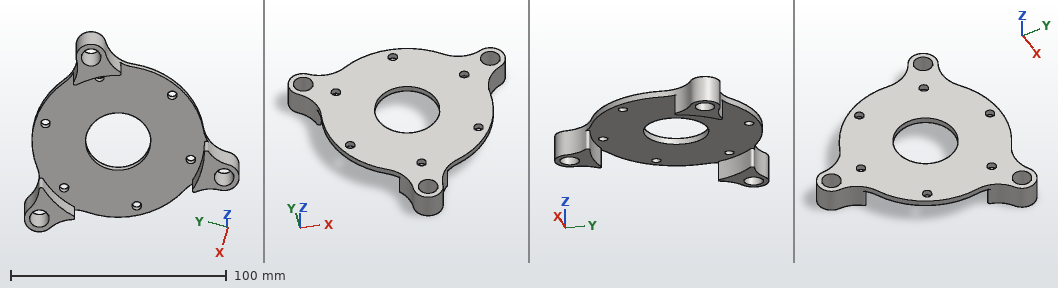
import cadquery as cq
import math

total_height = 12.3
plate_thickness = 3.0
leg_height = total_height - plate_thickness

disc_radius = 40.0
lug_count = 3
lug_radius = 7.0
lug_pitch_radius = 51.0
blend_radius = 16.0
first_lug_angle = -90
lug_angles = [first_lug_angle + i * 360 / lug_count for i in range(lug_count)]

leg_tip_radius = 1.0

bore_diameter = 30.2
lug_hole_diameter = 9.0
screw_hole_diameter = 4.3
screw_hole_count = 6
screw_pitch_radius = 35.0


def polar(radius, angle):
    """Point at a radius and an angle in degrees."""
    return radius * math.cos(math.radians(angle)), radius * math.sin(math.radians(angle))


def point_towards(start, target, distance):
    """Point at a distance from start along the line to target."""
    length = math.dist(start, target)
    return tuple(s + (t - s) * distance / length for s, t in zip(start, target))


def angle_between(side_a, side_b, opposite):
    """Angle in degrees between two sides of a triangle, from its three side lengths."""
    return math.degrees(math.acos((side_a**2 + side_b**2 - opposite**2) / (2 * side_a * side_b)))


def arc_middle(center, radius, start, end):
    """Middle of the shorter arc between two points on a circle."""
    chord_middle = tuple((a + b) / 2 for a, b in zip(start, end))
    return point_towards(center, chord_middle, radius)


blend_pitch_radius = disc_radius + blend_radius
blend_offset_angle = angle_between(
    blend_pitch_radius, lug_pitch_radius, lug_radius + blend_radius
)

tip_pitch_radius = disc_radius + leg_tip_radius
tip_offset_angle = blend_offset_angle - angle_between(
    blend_pitch_radius, tip_pitch_radius, blend_radius + leg_tip_radius
)


def blend_points(lug_angle, side):
    """Rim end, middle and lug end of the blend arc on one side (-1 or 1) of a lug."""
    blend_angle = lug_angle + side * blend_offset_angle
    blend_center = polar(blend_pitch_radius, blend_angle)
    lug_center = polar(lug_pitch_radius, lug_angle)
    rim_end = polar(disc_radius, blend_angle)
    lug_end = point_towards(lug_center, blend_center, lug_radius)
    middle = arc_middle(blend_center, blend_radius, rim_end, lug_end)
    return rim_end, middle, lug_end


def leg_side_points(lug_angle, side):
    """Points along one side (-1 or 1) of a leg: the two ends and middle of the tip
    round, from the rim circle outwards, then the middle and lug end of the blend."""
    tip_center = polar(tip_pitch_radius, lug_angle + side * tip_offset_angle)
    blend_center = polar(blend_pitch_radius, lug_angle + side * blend_offset_angle)
    lug_end = blend_points(lug_angle, side)[2]
    inner_end = point_towards(tip_center, (0, 0), leg_tip_radius)
    outer_end = point_towards(tip_center, blend_center, leg_tip_radius)
    tip_middle = arc_middle(tip_center, leg_tip_radius, inner_end, outer_end)
    blend_middle = arc_middle(blend_center, blend_radius, outer_end, lug_end)
    return inner_end, tip_middle, outer_end, blend_middle, lug_end


def make_plate():
    """Plate with its lugs, on top of the legs."""
    lug_spacing = 360 / lug_count
    rim_start = blend_points(lug_angles[0], -1)[0]
    outline = cq.Workplane("XY").workplane(offset=leg_height).moveTo(*rim_start)
    for angle in lug_angles:
        _, blend_a, lug_start = blend_points(angle, -1)
        rim_end, blend_b, lug_end = blend_points(angle, 1)
        next_rim_start = blend_points(angle + lug_spacing, -1)[0]
        outline = (
            outline.threePointArc(blend_a, lug_start)
            .threePointArc(polar(lug_pitch_radius + lug_radius, angle), lug_end)
            .threePointArc(blend_b, rim_end)
            .threePointArc(polar(disc_radius, angle + lug_spacing / 2), next_rim_start)
        )
    return outline.close().extrude(plate_thickness)


def make_leg(angle):
    """Leg under one lug, up to the underside of the plate."""
    inner_start, tip_a, outer_start, blend_a, lug_start = leg_side_points(angle, -1)
    inner_end, tip_b, outer_end, blend_b, lug_end = leg_side_points(angle, 1)
    return (
        cq.Workplane("XY")
        .moveTo(*inner_start)
        .threePointArc(tip_a, outer_start)
        .threePointArc(blend_a, lug_start)
        .threePointArc(polar(lug_pitch_radius + lug_radius, angle), lug_end)
        .threePointArc(blend_b, outer_end)
        .threePointArc(tip_b, inner_end)
        .threePointArc(polar(disc_radius, angle), inner_start)
        .close()
        .extrude(leg_height)
    )


def make_holes(diameter, centers):
    """Cylinders through the full height of the part."""
    return cq.Workplane("XY").pushPoints(centers).circle(diameter / 2).extrude(total_height)


lug_centers = [polar(lug_pitch_radius, angle) for angle in lug_angles]
screw_centers = [
    polar(screw_pitch_radius, first_lug_angle + i * 360 / screw_hole_count)
    for i in range(screw_hole_count)
]

body = make_plate()
for lug_angle in lug_angles:
    body = body.union(make_leg(lug_angle))

result = (
    body.cut(make_holes(bore_diameter, [(0, 0)]))
    .cut(make_holes(lug_hole_diameter, lug_centers))
    .cut(make_holes(screw_hole_diameter, screw_centers))
)